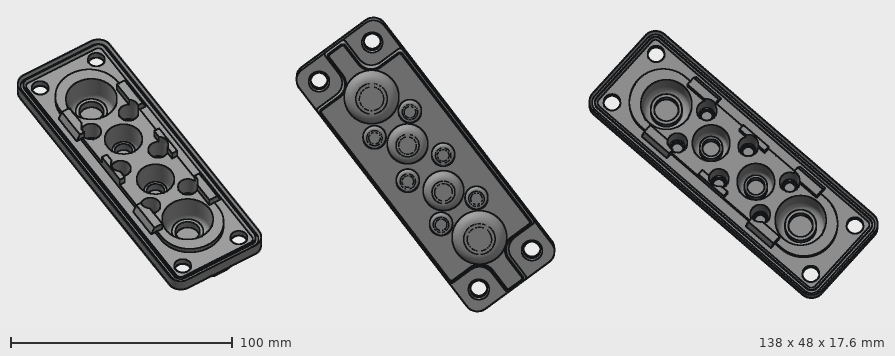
import cadquery as cq
import math

RIM_TOP = 0.0
FLOOR = -1.8
PLATFORM_TOP = 0.8
TAB_TOP = 4.6
WALL_BOTTOM = -6.35
PLATE_BOTTOM = -9.1
CUP_BOTTOM = -13.0
SMALL_CUP_BOTTOM = -12.0

LENGTH = 138.0
WIDTH = 48.0
CORNER_RADIUS = 6.0

RIM_STEP = 1.25
RIDGE_TOP = -0.55

NOTCH_X = 50.5
NOTCH_Y = 5.7
NOTCH_INNER_RADIUS = 7.5
NOTCH_OUTER_RADIUS = 1.6
LOWER_DRAFT = 21.0
LOWER_CHAMFER = 0.4

SCREW_X = 60.0
SCREW_Y = 15.0
SCREW_DIAMETER = 7.6
SCREW_COUNTERSINK = 0.9

PLATFORM_LENGTH = 115.4
PLATFORM_WIDTH = 30.6

TAB_LENGTH = 15.2
TAB_X = 31.4
TAB_INNER_Y = 12.6
TAB_TOP_Y = 16.8
TAB_BARB_Y = 18.5

LARGE_X = 40.5
MEDIUM_X = 13.5
SMALL_X = 25.0
SMALL_Y = 10.0
MEMBRANE = 0.5

LARGE_CUP = dict(
    top_radius=11.55, bowl_radius=10.6, collar_radius=7.1, bore_radius=5.5,
    collar_top=-8.3, boss_radius=12.6, boss_fillet=5.5, bottom=CUP_BOTTOM,
)
MEDIUM_CUP = dict(
    top_radius=8.5, bowl_radius=7.7, collar_radius=5.2, bore_radius=4.0,
    collar_top=-7.9, boss_radius=9.2, boss_fillet=4.0, bottom=CUP_BOTTOM,
)
SMALL_CUP = dict(
    top_radius=4.5, bowl_radius=3.9, collar_radius=3.5, bore_radius=2.65,
    collar_top=-8.3, boss_radius=5.2, boss_fillet=1.3, bottom=SMALL_CUP_BOTTOM,
)


def rounded_rectangle(inset, z):
    """Wire of the plate outline moved inwards by inset, at height z."""
    outline = cq.Sketch().rect(LENGTH - 2 * inset, WIDTH - 2 * inset)
    outline = outline.vertices().fillet(CORNER_RADIUS - inset)
    return cq.Workplane("XY", origin=(0, 0, z)).placeSketch(outline)


def sloped_pocket(inset, top):
    """Solid from height top to the floor that narrows by one rim step on the way down."""
    depth = top - FLOOR
    angle = math.degrees(math.atan2(RIM_STEP, depth))
    return rounded_rectangle(inset, top).extrude(-depth, taper=angle)


def make_plate():
    plate = rounded_rectangle(0, WALL_BOTTOM).extrude(RIM_TOP - WALL_BOTTOM)
    ridge_inset = 2 * RIM_STEP
    ridge = rounded_rectangle(ridge_inset, FLOOR).extrude(RIDGE_TOP - FLOOR)
    ridge = ridge.cut(sloped_pocket(ridge_inset, RIDGE_TOP))
    return plate.cut(sloped_pocket(0, RIM_TOP)).union(ridge)


def drafted_bar(length, width):
    """Rectangular bar below the outer wall, narrowing downwards, with rounded corners."""
    bar = cq.Workplane("XY", origin=(0, 0, WALL_BOTTOM)).rect(length, width)
    bar = bar.extrude(PLATE_BOTTOM - WALL_BOTTOM, taper=LOWER_DRAFT)
    return bar.edges("not (#Z)").fillet(NOTCH_OUTER_RADIUS)


def make_lower_plate():
    """Cross of two drafted bars with rounded inside corners and a chamfered lower edge."""
    cross = drafted_bar(2 * NOTCH_X, WIDTH).union(drafted_bar(LENGTH, 2 * NOTCH_Y))
    inside_corners = cq.selectors.BoxSelector(
        (-NOTCH_X, -NOTCH_Y, PLATE_BOTTOM), (NOTCH_X, NOTCH_Y, WALL_BOTTOM)
    )
    cross = cross.edges("not (#Z)").edges(inside_corners).fillet(NOTCH_INNER_RADIUS)
    return cross.faces("<Z").chamfer(LOWER_CHAMFER)


def make_platform():
    height = PLATFORM_TOP - FLOOR
    return (
        cq.Workplane("XY", origin=(0, 0, FLOOR))
        .slot2D(PLATFORM_LENGTH, PLATFORM_WIDTH).extrude(height)
    )


def make_tabs():
    """Barbed tabs at the ends and a plain tab in the middle of the +Y side, then mirrored."""
    barbed_section = [
        (TAB_INNER_Y, PLATFORM_TOP),
        (TAB_BARB_Y, PLATFORM_TOP),
        (TAB_TOP_Y, TAB_TOP),
        (TAB_INNER_Y, TAB_TOP),
    ]
    plain_depth = PLATFORM_WIDTH / 2 - TAB_INNER_Y
    tabs = cq.Workplane("XY").box(
        TAB_LENGTH, plain_depth, TAB_TOP - FLOOR, centered=(True, False, False)
    ).translate((0, TAB_INNER_Y, FLOOR))
    for x in (-TAB_X, TAB_X):
        barbed = cq.Workplane("YZ", origin=(x, 0, 0)).polyline(barbed_section).close()
        tabs = tabs.add(barbed.extrude(TAB_LENGTH / 2, both=True))
    tabs = tabs.combine()
    return tabs.union(tabs.mirror("XZ"))


def make_boss(x, y, cup):
    """Round body of a cup with a rounded lower edge."""
    boss = cq.Workplane("XY", origin=(x, y, cup["bottom"])).circle(cup["boss_radius"])
    boss = boss.extrude(FLOOR - cup["bottom"])
    return boss.faces("<Z").edges().fillet(cup["boss_fillet"])


def make_cavity(x, y, cup):
    """Tapered cup interior with a curved bowl around a hollow collar, open to the tab tops."""
    floor = cup["bottom"] + MEMBRANE
    bowl_fillet = cup["bowl_radius"] - cup["collar_radius"]
    diagonal = bowl_fillet * math.sqrt(0.5)
    bowl_middle = (cup["collar_radius"] + diagonal, floor + bowl_fillet - diagonal)
    profile = (
        cq.Workplane("XZ")
        .moveTo(0, floor)
        .lineTo(cup["bore_radius"], floor)
        .lineTo(cup["bore_radius"], cup["collar_top"])
        .lineTo(cup["collar_radius"], cup["collar_top"])
        .lineTo(cup["collar_radius"], floor)
        .threePointArc(bowl_middle, (cup["bowl_radius"], floor + bowl_fillet))
        .lineTo(cup["top_radius"], PLATFORM_TOP)
        .lineTo(cup["top_radius"], TAB_TOP)
        .lineTo(0, TAB_TOP)
    )
    return profile.close().revolve(360, (0, 0), (0, 1)).translate((x, y, 0))


def cup_places():
    """Position and sizes of every cup."""
    places = []
    for side in (-1, 1):
        places.append((side * LARGE_X, 0, LARGE_CUP))
        places.append((side * MEDIUM_X, 0, MEDIUM_CUP))
        for x in (-SMALL_X, 0, SMALL_X):
            places.append((x, side * SMALL_Y, SMALL_CUP))
    return places


def make_screw_holes():
    """Through holes in the corners, bevelled at the lower end."""
    radius = SCREW_DIAMETER / 2
    bevel_radius = radius + SCREW_COUNTERSINK
    profile = (
        cq.Workplane("XZ")
        .moveTo(0, WALL_BOTTOM)
        .lineTo(bevel_radius, WALL_BOTTOM)
        .lineTo(radius, WALL_BOTTOM + SCREW_COUNTERSINK)
        .lineTo(radius, RIM_TOP)
        .lineTo(0, RIM_TOP)
    )
    hole = profile.close().revolve(360, (0, 0), (0, 1))
    corners = [(sx * SCREW_X, sy * SCREW_Y) for sx in (-1, 1) for sy in (-1, 1)]
    return cq.Workplane("XY").pushPoints(corners).eachpoint(hole.val(), combine=True)


part = make_plate().union(make_lower_plate()).union(make_platform()).union(make_tabs())
for x, y, cup in cup_places():
    part = part.union(make_boss(x, y, cup))
for x, y, cup in cup_places():
    part = part.cut(make_cavity(x, y, cup))
result = part.cut(make_screw_holes())